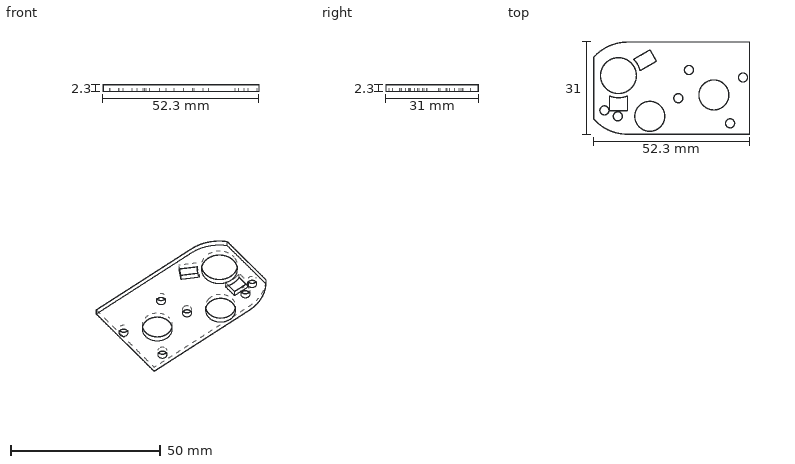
import cadquery as cq
import math

length = 52.3
width = 31.0
thickness = 2.3

end_arc_radius = 15.0
end_arc_run = 11.3

main_diameter = 12.0
main_center = (8.3, 19.7)
large_diameter = 10.0
large_centers = [(40.35, 13.25), (18.85, 6.05)]
small_diameter = 3.0
small_centers = [
    (31.95, 21.6),
    (50.1, 19.1),
    (28.4, 12.15),
    (3.6, 8.05),
    (8.1, 6.05),
    (45.75, 3.7),
]

window_inner_radius = 7.5
windows = [
    (-90, 5.95, 11.75),
    (30, 4.35, 13.45),
]


def plate():
    arc_angle = math.asin(end_arc_run / end_arc_radius)
    corner_drop = end_arc_radius * (1 - math.cos(arc_angle))
    mid_x = end_arc_run - end_arc_radius * math.sin(arc_angle / 2)
    mid_drop = end_arc_radius * (1 - math.cos(arc_angle / 2))
    return (
        cq.Workplane("XY")
        .moveTo(end_arc_run, 0)
        .lineTo(length, 0)
        .lineTo(length, width)
        .lineTo(end_arc_run, width)
        .threePointArc((mid_x, width - mid_drop), (0, width - corner_drop))
        .lineTo(0, corner_drop)
        .threePointArc((mid_x, mid_drop), (end_arc_run, 0))
        .close()
        .extrude(thickness)
    )


def round_cutter(centers, diameter):
    return cq.Workplane("XY").pushPoints(centers).circle(diameter / 2).extrude(thickness)


def window_cutter(direction, window_width, outer_distance):
    half_width = window_width / 2
    inner_corner = math.sqrt(window_inner_radius**2 - half_width**2)
    return (
        cq.Workplane("XY")
        .moveTo(inner_corner, -half_width)
        .lineTo(outer_distance, -half_width)
        .lineTo(outer_distance, half_width)
        .lineTo(inner_corner, half_width)
        .threePointArc((window_inner_radius, 0), (inner_corner, -half_width))
        .close()
        .extrude(thickness)
        .rotate((0, 0, 0), (0, 0, 1), direction)
        .translate((*main_center, 0))
    )


result = plate()
result = result.cut(round_cutter([main_center], main_diameter))
result = result.cut(round_cutter(large_centers, large_diameter))
result = result.cut(round_cutter(small_centers, small_diameter))
for direction, window_width, outer_distance in windows:
    result = result.cut(window_cutter(direction, window_width, outer_distance))